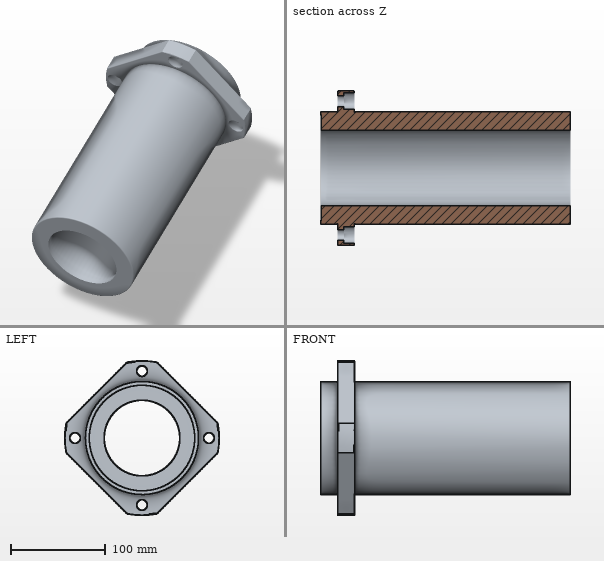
import cadquery as cq
length = 265
body_diameter = 120
bore_diameter = 80
body_edge_radius = 1.2

flange_start = 18
flange_thickness = 18
flange_end = flange_start + flange_thickness
flange_diameter = 164
flange_across_flats = 136
flat_angle = 45
flange_edge_radius = 1

bolt_count = 4
bolt_hole_diameter = 11
bolt_circle_diameter = 142
counterbore_diameter = 17
counterbore_depth = 11
counterbore_start = flange_end - counterbore_depth

recess_diameter = 112
recess_depth = 0.5


def cylinder(diameter, start, end):
    """Solid cylinder on the X axis between two X positions."""
    return cq.Workplane("YZ", origin=(start, 0, 0)).circle(diameter / 2).extrude(end - start)


def make_body_section(start, end):
    """Round body section with both rims rounded over."""
    return cylinder(body_diameter, start, end).edges().fillet(body_edge_radius)


def make_flange():
    """Round flange cut by four flats that face diagonally between Y and Z."""
    flats = (
        cq.Workplane("YZ", origin=(flange_start, 0, 0))
        .rect(flange_across_flats, flange_across_flats)
        .extrude(flange_thickness)
        .rotate((0, 0, 0), (1, 0, 0), flat_angle)
    )
    flange = cylinder(flange_diameter, flange_start, flange_end).intersect(flats)
    return flange.faces("<X or >X").edges().fillet(flange_edge_radius)


def bolt_pattern(diameter, start, end):
    """Cylinders on the bolt circle, lying on the Y and Z axes."""
    return (
        cq.Workplane("YZ", origin=(start, 0, 0))
        .polarArray(bolt_circle_diameter / 2, 0, 360, bolt_count)
        .circle(diameter / 2)
        .extrude(end - start)
    )


collar = make_body_section(0, flange_start)
barrel = make_body_section(flange_end, length)

flange = make_flange()
flange = flange.cut(bolt_pattern(bolt_hole_diameter, flange_start, flange_end))
flange = flange.cut(bolt_pattern(counterbore_diameter, counterbore_start, flange_end))

result = flange.union(collar).union(barrel)
result = result.cut(cylinder(recess_diameter, 0, recess_depth))
result = result.cut(cylinder(bore_diameter, 0, length))